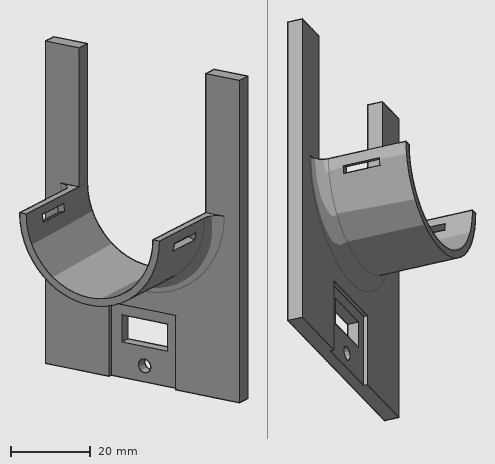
import cadquery as cq
import math

plate_width = 57.5
plate_height = 85.5
total_depth = 29.0
plate_thickness = 4.0

cradle_length = total_depth - plate_thickness
bore_diameter = 37.5
bore_radius = bore_diameter / 2
wall_thickness = 2.0
cradle_radius = bore_radius + wall_thickness
cradle_z = 48.65
root_fillet = 3.5

slot_length = 10.0
slot_height = 2.0
slot_tilt = 20.0
slot_drop = 3.7
slot_cut_depth = 3 * wall_thickness

recess_size = 19.75
recess_depth = 1.0
window_width = 13.5
window_height = 7.2
window_bottom = 9.4
hole_diameter = 3.6
hole_z = 4.3


def block(width, height, bottom, y_front, y_back):
    """Box centred on X, standing on the given Z."""
    depth = y_back - y_front
    return cq.Workplane("XY").box(width, depth, height, centered=(True, False, False)).translate(
        (0, y_front, bottom)
    )


def make_cradle():
    """Solid half-round with a concave root fillet, revolved about the bore axis."""
    diagonal = root_fillet * math.sqrt(0.5)
    fillet_middle = (cradle_radius + root_fillet - diagonal, diagonal - root_fillet)
    profile = (
        cq.Workplane("XY")
        .moveTo(0, 0)
        .lineTo(cradle_radius + root_fillet, 0)
        .threePointArc(fillet_middle, (cradle_radius, -root_fillet))
        .lineTo(cradle_radius, -cradle_length)
        .lineTo(0, -cradle_length)
        .close()
    )
    full_round = profile.revolve(360, (0, 0, 0), (0, 1, 0))
    extent = 2 * (cradle_radius + root_fillet)
    lower_half = block(extent, extent, -extent, -cradle_length, 0)
    return full_round.intersect(lower_half).translate((0, 0, cradle_z))


def make_channel():
    """U-shaped opening: the bore and the gap between the two arms above it."""
    bore = (
        cq.Workplane("XZ", origin=(0, plate_thickness, cradle_z))
        .circle(bore_radius)
        .extrude(total_depth)
    )
    gap = block(2 * bore_radius, plate_height - cradle_z, cradle_z, -cradle_length, plate_thickness)
    return bore.union(gap)


def make_slot(side):
    """Slot cutter on the +X (side = 1) or -X (side = -1) wall."""
    return (
        cq.Workplane("XY")
        .box(slot_cut_depth, slot_length, slot_height)
        .rotate((0, 0, 0), (0, 1, 0), side * slot_tilt)
        .translate((side * (bore_radius + wall_thickness / 2), -cradle_length / 2, cradle_z - slot_drop))
    )


plate = block(plate_width, plate_height, 0, 0, plate_thickness)
result = plate.union(make_cradle()).cut(make_channel())

for side in (-1, 1):
    result = result.cut(make_slot(side))

recess = block(recess_size, recess_size, 0, 0, recess_depth)
window = block(window_width, window_height, window_bottom, 0, plate_thickness)
screw_hole = (
    cq.Workplane("XZ", origin=(0, plate_thickness, hole_z))
    .circle(hole_diameter / 2)
    .extrude(plate_thickness)
)
result = result.cut(recess).cut(window).cut(screw_hole)